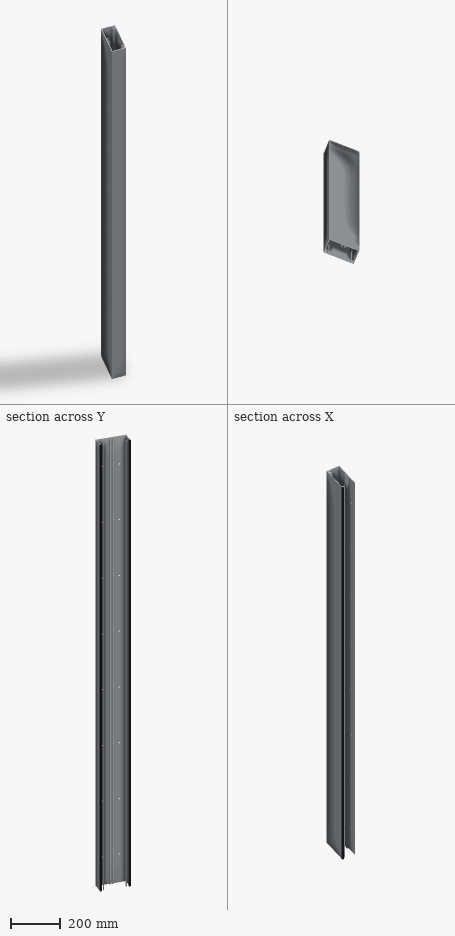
import cadquery as cq

length = 2000.0
width = 130.0
depth = 60.0

wall = 3.0

cover_thickness = 2.5
cover_leg = 3.0
cover_height = 13.0

lip_reach = 18.0
hook_depth = 16.0

rail_width = 18.0
rail_height = 8.0
rail_thickness = 2.0
rail_hook = 5.0

hole_diameter = 6.0
hole_spacing = 70.0
hole_pitch = 250.0
hole_rows = 8

half_width = width / 2
floor_bottom = -depth / 2
floor_top = floor_bottom + wall
cover_top = depth / 2
cover_underside = cover_top - cover_thickness
shoulder = cover_top - cover_height
neck_outer = half_width - cover_leg
neck_inner = neck_outer - wall
hook_inner = half_width - lip_reach
hook_outer = hook_inner + wall
hook_tip = cover_top - hook_depth
rail_outer = rail_width / 2
rail_inner = rail_outer - rail_thickness
rail_hook_tip = rail_outer - rail_hook
rail_top = floor_top + rail_height


def mirrored_profile(half_outline):
    """Extrude an outline given by its +X half; straight lines across the middle join the halves."""
    other_half = [(-x, y) for x, y in reversed(half_outline)]
    return cq.Workplane("XY").polyline(half_outline + other_half).close().extrude(length)


def make_base():
    half_outline = [
        (half_width, floor_bottom),
        (half_width, shoulder),
        (neck_outer, shoulder),
        (neck_outer, cover_underside),
        (hook_inner, cover_underside),
        (hook_inner, hook_tip),
        (hook_outer, hook_tip),
        (hook_outer, cover_underside - wall),
        (neck_inner, cover_underside - wall),
        (neck_inner, shoulder - wall),
        (half_width - wall, shoulder - wall),
        (half_width - wall, floor_top),
        (rail_outer, floor_top),
        (rail_outer, rail_top),
        (rail_hook_tip, rail_top),
        (rail_hook_tip, rail_top - rail_thickness),
        (rail_inner, rail_top - rail_thickness),
        (rail_inner, floor_top),
    ]
    return mirrored_profile(half_outline).cut(make_mounting_holes())


def make_mounting_holes():
    return (
        cq.Workplane("XZ", origin=(0, floor_bottom, length / 2))
        .rarray(hole_spacing, hole_pitch, 2, hole_rows)
        .circle(hole_diameter / 2)
        .extrude(-wall)
    )


def make_cover():
    half_outline = [
        (neck_outer, cover_underside),
        (neck_outer, shoulder),
        (half_width, shoulder),
        (half_width, cover_top),
    ]
    return mirrored_profile(half_outline)


base = make_base()
cover = make_cover()

result = cq.Compound.makeCompound([base.val(), cover.val()])